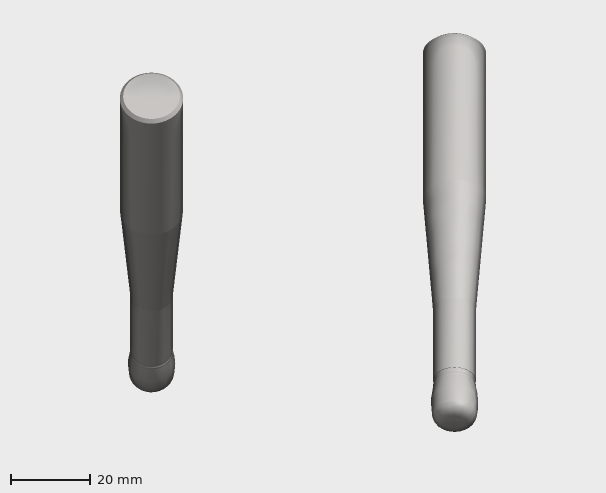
import cadquery as cq
import math

total_length = 120.0
taper_top = 72.0
taper_bottom = 36.0
joint_height = 13.5
collar_bottom = 12.2
band_top = 11.9
barrel_top = 11.4
barrel_widest = 6.4

shank_diameter = 16.0
neck_diameter = 10.8
collar_diameter = 10.5
barrel_diameter = 12.0

shank_chamfer = 0.8
nose_radius = 3.0


def make_holder():
    """Shank, taper and neck turned as one body."""
    shank_radius = shank_diameter / 2
    profile = (
        cq.Workplane("XZ")
        .moveTo(0, joint_height)
        .lineTo(neck_diameter / 2, joint_height)
        .lineTo(neck_diameter / 2, taper_bottom)
        .lineTo(shank_radius, taper_top)
        .lineTo(shank_radius, total_length - shank_chamfer)
        .lineTo(shank_radius - shank_chamfer, total_length)
        .lineTo(0, total_length)
        .close()
    )
    return profile.revolve(360, (0, 0, 0), (0, 1, 0))


def make_tip():
    """Barrel-shaped cutting tip with a collar, a narrow band and a rounded nose."""
    collar_radius = collar_diameter / 2
    band_radius = neck_diameter / 2

    swell = barrel_diameter / 2 - band_radius
    swell_height = barrel_top - barrel_widest
    barrel_arc_radius = (swell_height**2 + swell**2) / (2 * swell)

    center_drop = barrel_widest - nose_radius
    center_spacing = barrel_arc_radius - nose_radius
    barrel_center_x = barrel_diameter / 2 - barrel_arc_radius
    flat_radius = barrel_center_x + math.sqrt(center_spacing**2 - center_drop**2)
    nose_start_angle = math.asin(center_drop / center_spacing)
    nose_mid_angle = (nose_start_angle + math.pi / 2) / 2

    def nose_point(angle):
        """Point on the nose arc at an angle below horizontal."""
        return (
            flat_radius + nose_radius * math.cos(angle),
            nose_radius - nose_radius * math.sin(angle),
        )

    profile = (
        cq.Workplane("XZ")
        .lineTo(flat_radius, 0)
        .threePointArc(
            nose_point(nose_mid_angle),
            nose_point(nose_start_angle),
        )
        .threePointArc(
            (barrel_diameter / 2, barrel_widest),
            (band_radius, barrel_top),
        )
        .lineTo(band_radius, band_top)
        .lineTo(collar_radius, collar_bottom)
        .lineTo(collar_radius, joint_height)
        .lineTo(0, joint_height)
        .close()
    )
    return profile.revolve(360, (0, 0, 0), (0, 1, 0))


holder = make_holder()
tip = make_tip()

result = cq.Compound.makeCompound([holder.val(), tip.val()])